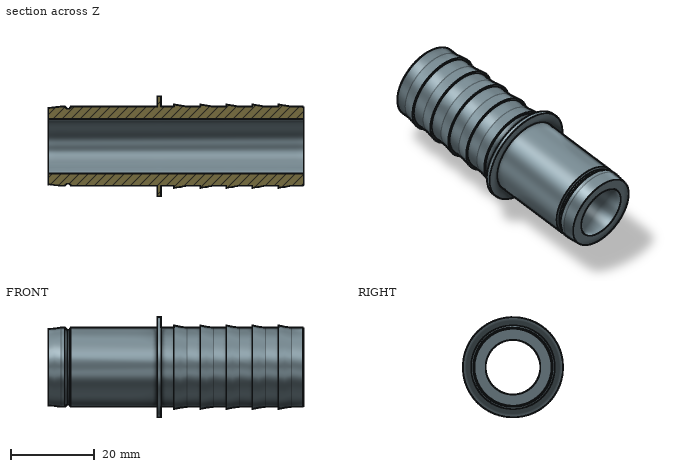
import cadquery as cq

length = 61.0
tube_radius = 19.0 / 2
bore_radius = 13.0 / 2

nose_length = 3.0
nose_tip_radius = 9.15

groove_start = 3.95
groove_floor_start = 4.5
groove_floor_end = 5.05
groove_end = 5.4
groove_radius = 8.95

flange_start = 26.0
flange_thickness = 1.0
flange_radius = 24.0 / 2

barb_count = 5
barb_start = 30.0
barb_pitch = 6.2
barb_length = 3.1
barb_radius = 20.0 / 2

end_chamfer = 0.3


def revolve_profile(points):
    """Turn a closed (x, radius) outline about the X axis."""
    return cq.Workplane("XY").polyline(points).close().revolve(360, (0, 0, 0), (1, 0, 0))


def tube_blank():
    return revolve_profile([
        (0, 0),
        (0, nose_tip_radius),
        (nose_length, tube_radius),
        (groove_start, tube_radius),
        (groove_floor_start, groove_radius),
        (groove_floor_end, groove_radius),
        (groove_end, tube_radius),
        (length - end_chamfer, tube_radius),
        (length, tube_radius - end_chamfer),
        (length, 0),
    ])


def flange():
    return cq.Workplane("YZ", origin=(flange_start, 0, 0)).circle(flange_radius).extrude(flange_thickness)


def barb(start):
    return revolve_profile([
        (start, 0),
        (start, barb_radius),
        (start + barb_length, tube_radius),
        (start + barb_length, 0),
    ])


def bore():
    return cq.Workplane("YZ").circle(bore_radius).extrude(length)


fitting = tube_blank().union(flange())
for index in range(barb_count):
    fitting = fitting.union(barb(barb_start + index * barb_pitch))

result = fitting.cut(bore())